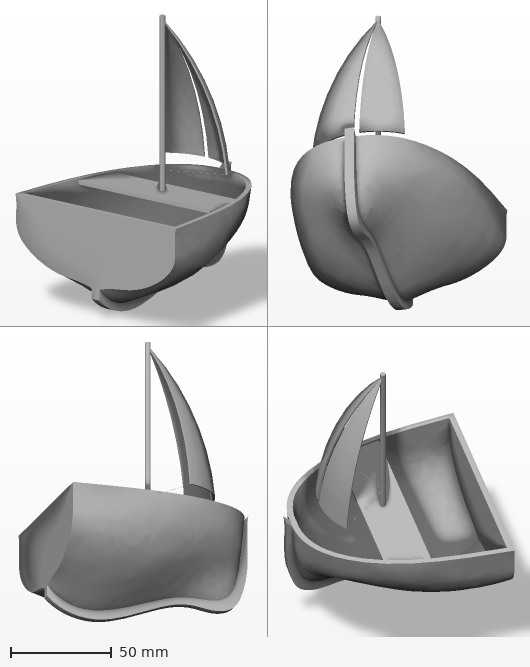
import cadquery as cq


WALL = 3.0
HALF_BEAM = 51.5
STEM_Y = 100.4
KEEL_DEPTH = 52.7

STATIONS = (0, 0.25, 0.5, 0.75, 0.93, 1)

RAILS = (
    (STEM_Y, (HALF_BEAM, 49.5, 45.5, 36.7, 22.5, 0), (0, 0, 0, 0, 0, 0)),
    (100.2, (51.0, 49.0, 45.0, 35.2, 20.4, 0), (-11.6, -12.4, -11.6, -10.2, -9.5, -9.5)),
    (100.0, (47.5, 44.8, 39.3, 29.8, 16.0, 0), (-23.3, -25.5, -24.0, -20.4, -18.9, -18.2)),
    (99.5, (33.5, 33.2, 28.4, 19.6, 10.2, 0), (-33.3, -36.4, -34.2, -28.4, -26.2, -26.2)),
    (98.6, (16.0, 15.5, 13.5, 9.5, 5.5, 0), (-37.7, -45.4, -40.7, -35.6, -34.9, -34.2)),
    (96.0, (0, 0, 0, 0, 0, 0), (-41.0, -52.7, -48.1, -42.8, -44.1, -41.6)),
)

KEEL_WIDTH = 5.0
STEM_HEAD = (103.5, 3.3)
KEEL_PROFILE = (
    (102.8, -26.2),
    (100.7, -36.5),
    (96.0, -44.5),
    (87.9, -47.0),
    (74.8, -45.0),
    (65.9, -45.2),
    (51.8, -49.3),
    (37.5, -54.0),
    (25.6, -55.9),
    (16.0, -54.7),
    (0, -45.7),
)

BENCH_START = 41.0
BENCH_END = 64.0
BENCH_DROP = 1.0
BENCH_THICKNESS = 2.0
MAST_Y = (BENCH_START + BENCH_END) / 2
MAST_TOP = 89.6
MAST_DIAMETER = 2.8

SAIL_THICKNESS = 1.0
SAIL_FOOT = (33.5, 9.6)
SAIL_MIDDLE = (25.9, 44.0)
SAIL_HEAD = (0.9, 87.0)
SHEET_DIAMETER = 0.1
SHEET_SETBACK = 0.5
STARBOARD_SAIL = (24.7, 84.6)
PORT_SAIL = (90.0, 130.0)


def hull_rail(stem_y, half_widths, heights, inset):
    """One fore-and-aft curve of the starboard side, moved inward by the inset."""
    narrowing = 1 - inset / HALF_BEAM
    length = stem_y - 2 * inset
    lift = 1 - inset / KEEL_DEPTH
    points = [
        cq.Vector(narrowing * half_width, inset + length * station, lift * height)
        for station, half_width, height in zip(STATIONS, half_widths, heights)
    ]
    return cq.Edge.makeSpline(points)


def hull_form(inset):
    """Solid inside the hull surface, the deck plane and the transom, all but the deck moved inward."""
    rails = [hull_rail(*rail, inset) for rail in RAILS]
    starboard = cq.occ_impl.shapes.loft(*rails, parametrization="chordal")
    gunwale = starboard.edges(">Z")
    transom_side = starboard.edges("<Y")
    keel_and_stem = starboard.edges("<X").Edges()

    transom_top = cq.Vector(0, inset, 0)
    stem_top = gunwale.positionAt(1)
    keel_heel = transom_side.positionAt(1)
    deck_center = cq.Edge.makeLine(transom_top, stem_top)
    deck_aft = cq.Edge.makeLine(transom_top, gunwale.positionAt(0))
    transom_center = cq.Edge.makeLine(transom_top, keel_heel)

    deck = cq.Face.makeFromWires(cq.Wire.assembleEdges([deck_aft, gunwale, deck_center]))
    transom = cq.Face.makeFromWires(cq.Wire.assembleEdges([deck_aft, transom_side, transom_center]))
    middle = cq.Face.makeFromWires(cq.Wire.combine([deck_center, transom_center, *keel_and_stem])[0])
    half = cq.Workplane(cq.Solid.makeSolid(cq.Shell.makeShell([starboard, deck, transom, middle])))
    return half.union(half.mirror("YZ"))


def build_mast():
    """Round mast standing on the bench."""
    mast = cq.Workplane(origin=(0, MAST_Y, -BENCH_DROP)).circle(MAST_DIAMETER / 2)
    return mast.extrude(MAST_TOP + BENCH_DROP)


def build_boat():
    """Open hull with its keel, the bench across it and the mast, all one solid."""
    keel = (
        cq.Workplane("YZ")
        .moveTo(*STEM_HEAD)
        .spline(KEEL_PROFILE, includeCurrent=True)
        .lineTo(0, 0)
        .lineTo(STEM_Y, 0)
        .close()
        .extrude(KEEL_WIDTH / 2, both=True)
    )
    outer = hull_form(0)
    bench = (
        cq.Workplane(origin=(0, MAST_Y, -BENCH_DROP))
        .rect(2 * HALF_BEAM, BENCH_END - BENCH_START)
        .extrude(-BENCH_THICKNESS)
        .intersect(outer)
    )
    return outer.union(keel).cut(hull_form(WALL)).union(bench).union(build_mast())


def build_sail(start_angle, end_angle, sheet_angle):
    """Curved sail sector, and the thin sheet that ties its outer foot corner to the mast."""
    foot_radius, foot_height = SAIL_FOOT
    middle_radius, middle_height = SAIL_MIDDLE
    head_radius, head_height = SAIL_HEAD
    sail = (
        cq.Workplane("XZ")
        .moveTo(foot_radius, foot_height)
        .threePointArc(SAIL_MIDDLE, SAIL_HEAD)
        .lineTo(head_radius, head_height - SAIL_THICKNESS)
        .threePointArc(
            (middle_radius - SAIL_THICKNESS, middle_height),
            (foot_radius - SAIL_THICKNESS, foot_height),
        )
        .close()
        .revolve(end_angle - start_angle, (0, 0), (0, 1))
        .rotate((0, 0, 0), (0, 0, 1), start_angle)
    )
    sheet = (
        cq.Workplane("YZ")
        .center(0, foot_height + SHEET_DIAMETER)
        .circle(SHEET_DIAMETER / 2)
        .extrude(foot_radius - SAIL_THICKNESS / 2)
        .rotate((0, 0, 0), (0, 0, 1), sheet_angle)
    )
    return sail.union(sheet).translate((0, MAST_Y, 0)).cut(build_mast())


boat = build_boat()
starboard_sail = build_sail(*STARBOARD_SAIL, STARBOARD_SAIL[0] + SHEET_SETBACK)
port_sail = build_sail(*PORT_SAIL, PORT_SAIL[1] - SHEET_SETBACK)
result = cq.Compound.makeCompound([boat.val(), starboard_sail.val(), port_sail.val()])